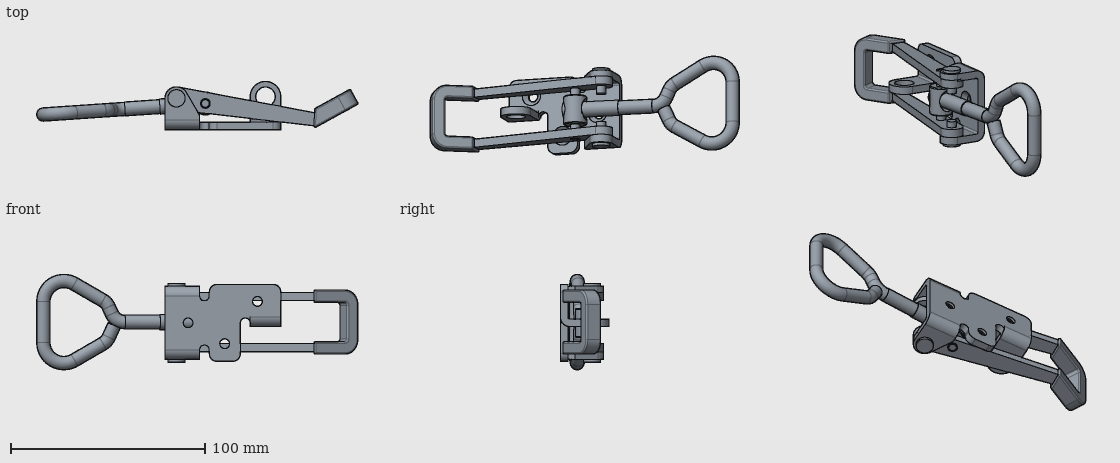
import cadquery as cq
import math


sheet = 4.0
bend_outer = 5.0
bend_inner = bend_outer - sheet
pivot_height = 16.2
nose_radius = 6.0
housing_half_width = 18.9
flange_inner = housing_half_width - sheet
flange_bend_z = housing_half_width - bend_outer
flange_end_x = 12.0
flange_slope = 60.0
relief_radius = 2.5
wide_start_x = flange_end_x + 2 * relief_radius
wide_half_width = 19.9
wide_corner_radius = 4.0
plate_hole_radius = 2.5
plate_sink_depth = 2.5
plate_holes = [(6.0, 0), (24.9, -10.8), (41.7, 11.1)]

eye_radius = 8.0
eye_hole_radius = 5.0
eye_top = 25.0
eye_x = 45.9
eye_y = eye_top - eye_radius
tab_start_x = eye_x - eye_radius
tab_end_x = eye_x + eye_radius
tab_bend_z = bend_outer - sheet / 2
lower_end_x = tab_start_x - 2 * relief_radius

rivet_head_radius = 4.5
rivet_head_height = 1.5
rivet_radius = 2.5
rivet_end_z = 7.5

barrel_x = 14.9
barrel_height = 13.6
barrel_radius = 6.0
barrel_half_length = 7.5
barrel_chamfer = 0.5
trunnion_radius = 2.5
barrel_sink_depth = 1.7

hook_tilt = 3.9
wire_radius = 3.5
shank_radius = 4.0
shank_length = 23.5
neck_radius = 3.6
neck_length = 18.0
neck_bend_radius = 7.5
neck_angle = 65.0
neck_straight = 4.0
loop_side_angle = 30.0
loop_side_length = 17.0
loop_corner_radius = 10.6
tail_length = 6.8

grip_angle = 28.8
grip_start_x = 70.7
grip_start_y = 0.7
grip_length = 26.3
grip_depth = 8.8
grip_miter = 5.5
grip_half_width = 16.5
grip_band = 6.5
grip_corner_radius = 7.5
grip_inner_radius = 1.5
grip_edge_radius = 0.8
grip_wall = 1.0

lever_top_slope = 10.3
lever_bottom_slope = 6.4
lever_low_z = -flange_inner
lever_high_z = 15.7
middle_z = (lever_low_z + lever_high_z) / 2
lever_leg = 4.3
lever_bottom_in_grip = 1.2
lever_top_in_grip = 7.0


def along_z(x, y, radius, z_start, z_end):
    """Cylinder parallel to Z."""
    return cq.Workplane("XY", origin=(x, y, z_start)).circle(radius).extrude(z_end - z_start)


def block(x_range, y_range, z_range):
    """Box given by its limits."""
    corners = list(zip(x_range, y_range, z_range))
    size = [high - low for low, high in zip(*corners)]
    return cq.Workplane("XY").box(*size, centered=False).translate(corners[0])


def nose_point(angle):
    """Point on the round nose about the main pivot; angle in degrees from +X."""
    turn = math.radians(angle)
    return nose_radius * math.cos(turn), pivot_height + nose_radius * math.sin(turn)


def sheet_bend(x_start, x_end, bend_z, side):
    """Quarter bend from the plate up to a wall on the given side of the bend line."""
    diagonal = math.sqrt(0.5)

    def on_arc(radius, across, down):
        return bend_outer - radius * down, bend_z + side * radius * across

    return (
        cq.Workplane("YZ", origin=(x_start, 0, 0))
        .moveTo(*on_arc(bend_outer, 0, 1))
        .threePointArc(on_arc(bend_outer, diagonal, diagonal), on_arc(bend_outer, 1, 0))
        .lineTo(*on_arc(bend_inner, 1, 0))
        .threePointArc(on_arc(bend_inner, diagonal, diagonal), on_arc(bend_inner, 0, 1))
        .close()
        .extrude(x_end - x_start)
    )


def make_screw_hole():
    """Cutter for a hole through the base, countersunk from the inside."""
    outline = [
        (0, 0),
        (plate_hole_radius, 0),
        (plate_hole_radius, sheet - plate_sink_depth),
        (plate_hole_radius + plate_sink_depth, sheet),
        (0, sheet),
    ]
    return cq.Workplane("XY").polyline(outline).close().revolve(360, (0, 0, 0), (0, 1, 0))


def make_plate():
    """Flat base with its wide part, relief notches and screw holes."""
    wide = (
        cq.Workplane("XZ")
        .moveTo(wide_start_x, -wide_half_width)
        .lineTo(lower_end_x, -wide_half_width)
        .lineTo(lower_end_x, 0)
        .threePointArc((lower_end_x + relief_radius, relief_radius), (tab_start_x, 0))
        .lineTo(tab_start_x, tab_bend_z)
        .lineTo(tab_end_x, tab_bend_z)
        .lineTo(tab_end_x, wide_half_width)
        .lineTo(wide_start_x, wide_half_width)
        .close()
        .extrude(-sheet)
    )
    outer_corners = [
        (wide_start_x, -wide_half_width),
        (lower_end_x, -wide_half_width),
        (tab_end_x, wide_half_width),
        (wide_start_x, wide_half_width),
    ]
    for x, z in outer_corners:
        corner = cq.selectors.NearestToPointSelector((x, sheet / 2, z))
        wide = wide.edges("|Y").edges(corner).fillet(wide_corner_radius)
    web = block((-nose_radius, wide_start_x), (0, sheet), (-flange_bend_z, flange_bend_z))
    relief_x = flange_end_x + relief_radius
    reliefs = (
        cq.Workplane("XZ")
        .pushPoints([(relief_x, -flange_bend_z), (relief_x, flange_bend_z)])
        .circle(relief_radius)
        .extrude(-sheet)
    )
    plate = wide.union(web).cut(reliefs)
    for x, z in plate_holes:
        plate = plate.cut(make_screw_hole().translate((x, 0, z)))
    return plate


def make_flange(side):
    """Side wall with a round nose about the main pivot, and the bend below it."""
    tangent_angle = 90 - flange_slope
    tangent_x, tangent_y = nose_point(tangent_angle)
    slope_end_y = tangent_y - (flange_end_x - tangent_x) * math.tan(math.radians(flange_slope))
    wall = (
        cq.Workplane("XY", origin=(0, 0, side * flange_inner))
        .moveTo(-nose_radius, bend_outer)
        .lineTo(flange_end_x, bend_outer)
        .lineTo(flange_end_x, slope_end_y)
        .lineTo(tangent_x, tangent_y)
        .threePointArc(nose_point(90), nose_point(180))
        .close()
        .extrude(side * sheet)
    )
    return wall.union(sheet_bend(-nose_radius, flange_end_x, side * flange_bend_z, side))


def make_eye_tab():
    """Round-topped tab with an eye, and the bend below it."""
    wall = (
        cq.Workplane("XY", origin=(0, 0, -sheet / 2))
        .moveTo(tab_start_x, bend_outer)
        .lineTo(tab_end_x, bend_outer)
        .lineTo(tab_end_x, eye_y)
        .threePointArc((eye_x, eye_top), (tab_start_x, eye_y))
        .close()
        .extrude(sheet)
    )
    eye = along_z(eye_x, eye_y, eye_hole_radius, -sheet / 2, sheet / 2)
    return wall.cut(eye).union(sheet_bend(tab_start_x, tab_end_x, tab_bend_z, -1))


def make_housing(lever):
    """Housing with rivet holes; the upper lever leg lies in a shallow recess of its flange."""
    shell = make_plate().union(make_eye_tab())
    for side in (-1, 1):
        shell = shell.union(make_flange(side))
    rivet_hole = along_z(0, pivot_height, rivet_radius, -housing_half_width, housing_half_width)
    return shell.cut(rivet_hole).cut(lever)


def make_rivet(side):
    """Headed rivet through one flange and the lever leg inside it."""
    head_z = side * housing_half_width
    head = cq.Workplane("XY", origin=(0, pivot_height, head_z)).circle(rivet_head_radius)
    shank = cq.Workplane("XY", origin=(0, pivot_height, side * rivet_end_z)).circle(rivet_radius)
    shank_part = shank.extrude(side * (housing_half_width - rivet_end_z))
    return head.extrude(side * rivet_head_height).union(shank_part)


def to_grip_place(body):
    """Move a body from the grip's own axes (along, across, Z) to its place on the latch."""
    return body.rotate((0, 0, 0), (0, 0, 1), grip_angle).translate((grip_start_x, grip_start_y, middle_z))


def grip_point(along, across):
    """X and Y of a point given along and across the grip arm."""
    turn = math.radians(grip_angle)
    x = grip_start_x + along * math.cos(turn) - across * math.sin(turn)
    y = grip_start_y + along * math.sin(turn) + across * math.cos(turn)
    return x, y


def make_grip(lever):
    """U-shaped moulded grip, mitred where it meets the lever and hollow for its bent end."""
    outline = [(0, 0), (grip_length, 0), (grip_length, grip_depth), (grip_miter, grip_depth)]
    body = cq.Workplane("XY", origin=(0, 0, -grip_half_width)).polyline(outline).close()
    body = body.extrude(2 * grip_half_width)
    body = body.edges(">X and |Y").fillet(grip_corner_radius)
    opening_half = grip_half_width - grip_band
    opening = block((-grip_length, grip_length - grip_band), (0, grip_depth), (-opening_half, opening_half))
    opening = opening.edges(">X and |Y").fillet(grip_inner_radius)
    body = body.cut(opening).faces("<Y or >Y or <X").edges().fillet(grip_edge_radius)
    return to_grip_place(body).cut(lever)


def make_lever():
    """U-shaped lever: two tapering legs joined by a crossbar at the end inside the grip."""
    end = grip_length - grip_wall
    top_start = nose_point(90 - lever_top_slope)
    bottom_start = nose_point(-90 - lever_bottom_slope)
    miter_slope = grip_miter / grip_depth
    body = (
        cq.Workplane("XY", origin=(0, 0, lever_low_z))
        .moveTo(*top_start)
        .lineTo(*grip_point(lever_top_in_grip * miter_slope, lever_top_in_grip))
        .lineTo(*grip_point(end, lever_top_in_grip))
        .lineTo(*grip_point(end, lever_bottom_in_grip))
        .lineTo(*grip_point(lever_bottom_in_grip * miter_slope, lever_bottom_in_grip))
        .lineTo(*bottom_start)
        .threePointArc(nose_point(180), top_start)
        .close()
        .extrude(lever_high_z - lever_low_z)
    )
    across_arm = cq.Vector(*grip_point(0, 1.7)) - cq.Vector(*grip_point(0, 0))
    body = body.edges(cq.selectors.ParallelDirSelector(across_arm)).fillet(grip_corner_radius - grip_wall)
    opening_half = (lever_high_z - lever_low_z) / 2 - lever_leg
    reach = 2 * grip_start_x
    gap = block(
        (-reach, end - lever_leg),
        (-reach, reach),
        (-opening_half, opening_half),
    )
    rivet_hole = along_z(0, pivot_height, rivet_radius, lever_low_z, lever_high_z)
    trunnion_hole = along_z(barrel_x, barrel_height, trunnion_radius, lever_low_z, lever_high_z)
    return body.cut(to_grip_place(gap)).cut(rivet_hole).cut(trunnion_hole)


def to_hook_place(body):
    """Move a body from the hook's own axes, centred on the barrel, to its place on the latch."""
    return body.rotate((0, 0, 0), (0, 0, 1), hook_tilt).translate((barrel_x, barrel_height, middle_z))


def make_barrel():
    """Cross barrel with trunnions in the lever legs and a countersunk hole for the hook."""
    barrel = along_z(barrel_x, barrel_height, barrel_radius, -barrel_half_length, barrel_half_length)
    barrel = barrel.faces("|Z").edges().chamfer(barrel_chamfer)
    trunnions = along_z(barrel_x, barrel_height, trunnion_radius, lever_low_z, lever_high_z)
    trunnions = trunnions.faces("|Z").edges().chamfer(barrel_chamfer)
    hole = cq.Workplane("YZ", origin=(-barrel_radius, 0, 0)).circle(shank_radius).extrude(2 * barrel_radius)
    countersink = (
        cq.Workplane("YZ", origin=(-barrel_radius, 0, 0))
        .circle(shank_radius + barrel_sink_depth)
        .workplane(offset=barrel_sink_depth)
        .circle(shank_radius)
        .loft()
    )
    return barrel.union(trunnions).cut(to_hook_place(hole.union(countersink)))


def ahead(point, heading, distance):
    """Point reached from another by going a distance along a heading in degrees."""
    turn = math.radians(heading)
    return point[0] + distance * math.cos(turn), point[1] + distance * math.sin(turn)


def sweep_wire(start, heading, steps):
    """Round wire through straight lengths and bends, each step being (length,) or (radius, left turn).

    Returns the wire with the point and the heading at its end.
    """
    path = cq.Workplane("XZ").moveTo(*start)
    point = start
    end_heading = heading
    for step in steps:
        if len(step) == 1:
            point = ahead(point, end_heading, step[0])
            path = path.lineTo(*point)
        else:
            radius, turn = step
            chord = 2 * radius * math.sin(math.radians(abs(turn)) / 2)
            half_chord = 2 * radius * math.sin(math.radians(abs(turn)) / 4)
            middle = ahead(point, end_heading + turn / 4, half_chord)
            point = ahead(point, end_heading + turn / 2, chord)
            end_heading += turn
            path = path.threePointArc(middle, point)
    turn = math.radians(heading)
    section = cq.Plane(
        origin=(start[0], 0, start[1]),
        xDir=(0, 1, 0),
        normal=(math.cos(turn), 0, math.sin(turn)),
    )
    return cq.Workplane(section).circle(wire_radius).sweep(path), point, end_heading


def make_hook():
    """Shank, neck and closed loop; the tail of the wire ends in the bend of the neck."""
    shank = cq.Workplane("YZ", origin=(-shank_length, 0, 0)).circle(shank_radius)
    shank = shank.extrude(shank_length + barrel_radius)
    neck = cq.Workplane("YZ", origin=(-shank_length, 0, 0)).circle(neck_radius).extrude(-neck_length)
    small_turn = neck_angle - loop_side_angle
    corner_turn = 90 + loop_side_angle
    neck_steps = [
        (neck_length,),
        (neck_bend_radius, -neck_angle),
        (neck_straight,),
        (neck_bend_radius, small_turn),
        (loop_side_length,),
        (loop_corner_radius, corner_turn),
    ]
    upper_half, bar_top, bar_heading = sweep_wire((-shank_length, 0), 180, neck_steps)
    bar_length = 2 * bar_top[1]
    lower_steps = [
        (bar_length,),
        (loop_corner_radius, corner_turn),
        (loop_side_length,),
        (neck_bend_radius, small_turn),
        (tail_length,),
    ]
    lower_half = sweep_wire(bar_top, bar_heading, lower_steps)[0]
    return to_hook_place(shank.union(neck).union(upper_half).union(lower_half))


lever = make_lever()
housing = make_housing(lever)
grip = make_grip(lever)
rivets = [make_rivet(side) for side in (-1, 1)]
barrel = make_barrel()
hook = make_hook()

bodies = [housing, lever, grip, *rivets, barrel, hook]
result = cq.Compound.makeCompound([body.solids().val() for body in bodies])